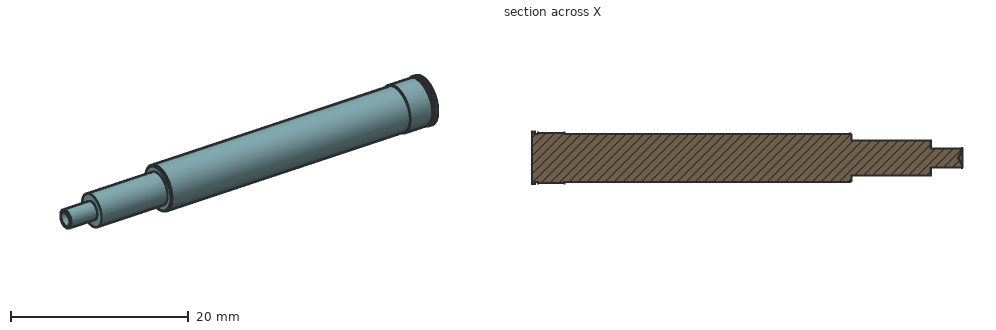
import cadquery as cq

total_length = 48.55
flange_thickness = 0.35
band_start = 0.7
band_end = 3.7
barrel_end = 36.0
plunger_end = 44.95

flange_diameter = 5.9
band_diameter = 5.75
barrel_diameter = 5.5
plunger_diameter = 4.0
tip_diameter = 2.25

barrel_chamfer = 0.15
tip_chamfer = 0.1

cup_diameter = 1.7
cup_depth = 0.5


def cylinder(diameter, start, end):
    """Solid cylinder on the Y axis, the rear face at +Y and the tip at -Y."""
    rear_plane = cq.Plane(origin=(0, total_length / 2 - start, 0), xDir=(1, 0, 0), normal=(0, -1, 0))
    return cq.Workplane(rear_plane).circle(diameter / 2).extrude(end - start)


def tip_cup():
    """Cone that opens at the front of the tip and narrows to a point inside it."""
    front_center = cq.Vector(0, -total_length / 2, 0)
    rearward = cq.Vector(0, 1, 0)
    return cq.Workplane(obj=cq.Solid.makeCone(cup_diameter / 2, 0, cup_depth, front_center, rearward))


flange = cylinder(flange_diameter, 0, flange_thickness)
band = cylinder(band_diameter, band_start, band_end)
barrel = cylinder(barrel_diameter, 0, barrel_end).faces("<Y").chamfer(barrel_chamfer)
plunger = cylinder(plunger_diameter, barrel_end, plunger_end)
tip = cylinder(tip_diameter, plunger_end, total_length).faces("<Y").chamfer(tip_chamfer).cut(tip_cup())

result = barrel.union(flange).union(band).union(plunger).union(tip)